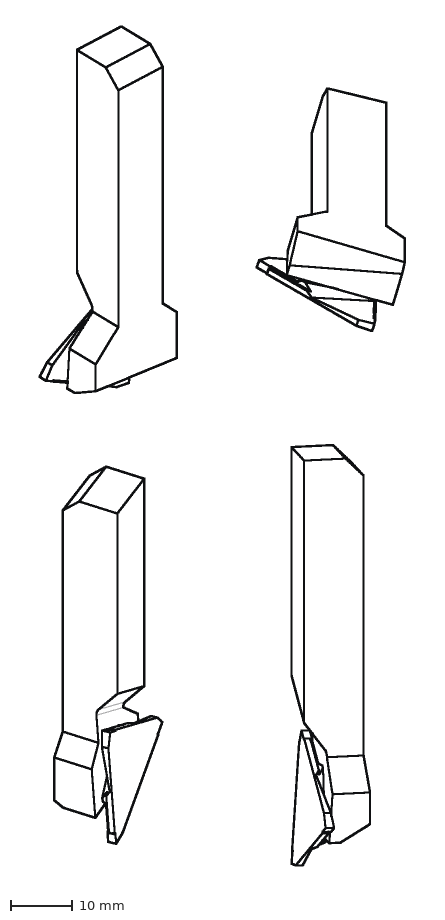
import cadquery as cq
import math

SHANK_SIDE = 9.95
TOP_Z = 70.1
TOP_CHAMFER = 3.0

HEAD_FRONT_Y = -5.05
HEAD_BACK_Y = 13.1
HEAD_BOTTOM_Z = 6.9
SHOULDER_Z = 20.1

RELIEF_SLOPE = 30.0
RELIEF_FRONT_HEIGHT = 2.9
RELIEF_BACK_HEIGHT = 1.0

INSERT_CENTRE = (1.05, 3.3, 11.1)
INSERT_TURN = 30.0
SEAT_TILT = 4.3

INSERT_INRADIUS = 7.15
INSERT_THICKNESS = 2.0
TIP_THICKNESS = 1.5
TIP_SHORT_CUT = 1.3
TIP_LONG_CUT = 3.4
TIP_LAND_LENGTH = 2.2
TIP_LAND_INSET = 0.2
CORNER_RELIEF_ANGLE = 5.8
LEDGE_THICKNESS = 1.05
LEDGE_DEPTH = 0.4
BOSS_OFFSET = 2.7
BOSS_WALL_ANGLE = 45.0

STEP_DISTANCE = 10.3
STEP_ANGLE = 45.0
STEP_FILLET = 1.6

CLEAR = 42.1

TURN = math.radians(INSERT_TURN)
TILT = math.radians(SEAT_TILT)
U_AXIS = cq.Vector(0, math.cos(TURN), math.sin(TURN))
W_AXIS = cq.Vector(
    math.cos(TILT), math.sin(TILT) * math.sin(TURN), -math.sin(TILT) * math.cos(TURN)
)
V_AXIS = W_AXIS.cross(U_AXIS)
INSERT_PLANE = cq.Plane(INSERT_CENTRE, U_AXIS, W_AXIS)
SEAT_PROFILE_PLANE = cq.Plane(INSERT_CENTRE, V_AXIS, U_AXIS)

APEX = math.radians(60)
HALF_SIDE = INSERT_INRADIUS / math.tan(APEX / 2)
CORNER_SPACING = 120
CORNER_TURNS = [number * CORNER_SPACING for number in range(3)]
BOSS_CORNER = (BOSS_OFFSET, INSERT_INRADIUS)


def turned(point, degrees):
    """A point in the u-v plane turned about the insert centre."""
    angle = math.radians(degrees)
    u, v = point
    return (
        u * math.cos(angle) - v * math.sin(angle),
        u * math.sin(angle) + v * math.cos(angle),
    )


def make_shank():
    shank = cq.Workplane("XY").box(
        SHANK_SIDE, SHANK_SIDE, TOP_Z - SHOULDER_Z, centered=False
    ).translate((0, 0, SHOULDER_Z))
    return shank.edges(">X and >Z").chamfer(TOP_CHAMFER)


def make_head():
    """Head with 45 degree shoulders widening from the shank in Y."""
    outline = [
        (0, SHOULDER_Z),
        (HEAD_FRONT_Y, SHOULDER_Z + HEAD_FRONT_Y),
        (HEAD_FRONT_Y, HEAD_BOTTOM_Z),
        (HEAD_BACK_Y, HEAD_BOTTOM_Z),
        (HEAD_BACK_Y, SHOULDER_Z - (HEAD_BACK_Y - SHANK_SIDE)),
        (SHANK_SIDE, SHOULDER_Z),
    ]
    return cq.Workplane("YZ").polyline(outline).close().extrude(SHANK_SIDE)


def bottom_relief():
    """Tapering wedge along the lower +X edge of the head."""

    def section(y, height):
        width = height / math.tan(math.radians(RELIEF_SLOPE))
        return cq.Wire.makePolygon(
            [
                cq.Vector(SHANK_SIDE, y, HEAD_BOTTOM_Z),
                cq.Vector(SHANK_SIDE, y, HEAD_BOTTOM_Z + height),
                cq.Vector(SHANK_SIDE - width, y, HEAD_BOTTOM_Z),
            ],
            close=True,
        )

    front = section(HEAD_FRONT_Y, RELIEF_FRONT_HEIGHT)
    back = section(HEAD_BACK_Y, RELIEF_BACK_HEIGHT)
    return cq.Workplane(cq.Solid.makeLoft([front, back], True))


def seat_cut():
    """Space in front of the tilted seat, closed above by the filleted sloping step."""
    step = math.radians(STEP_ANGLE)
    tangent = STEP_FILLET * math.tan(step / 2)
    fillet_end = (
        STEP_DISTANCE + tangent * math.cos(step),
        INSERT_THICKNESS - tangent * math.sin(step),
    )
    step_end = (
        STEP_DISTANCE + CLEAR * math.cos(step),
        INSERT_THICKNESS - CLEAR * math.sin(step),
    )
    return (
        cq.Workplane(SEAT_PROFILE_PLANE)
        .moveTo(-CLEAR, INSERT_THICKNESS)
        .lineTo(STEP_DISTANCE - tangent, INSERT_THICKNESS)
        .radiusArc(fillet_end, STEP_FILLET)
        .lineTo(*step_end)
        .lineTo(-CLEAR, step_end[1])
        .close()
        .extrude(CLEAR, both=True)
    )


def make_holder():
    return make_shank().union(make_head()).cut(bottom_relief()).cut(seat_cut())


def insert_plate():
    """Triangle whose corners are cut off obliquely, leaving a cutting tip at each.

    A short land beside each tip is set in slightly from the side of the triangle.
    """
    long_cut_end = (-HALF_SIDE + TIP_LONG_CUT, INSERT_INRADIUS)
    short_cut_end = trailing_side_point(TIP_SHORT_CUT, 0)
    inset_share = TIP_LAND_INSET / (TIP_LONG_CUT * math.sin(APEX))
    tip = (
        short_cut_end[0] + inset_share * (long_cut_end[0] - short_cut_end[0]),
        short_cut_end[1] + inset_share * (long_cut_end[1] - short_cut_end[1]),
    )
    land_end = TIP_SHORT_CUT + TIP_LAND_LENGTH
    corner = [
        long_cut_end,
        tip,
        trailing_side_point(land_end, TIP_LAND_INSET),
        trailing_side_point(land_end, 0),
    ]
    outline = [turned(point, turn) for turn in CORNER_TURNS for point in corner]
    return cq.Workplane(INSERT_PLANE).polyline(outline).close().extrude(INSERT_THICKNESS)


def trailing_side_point(distance, inset):
    """Point at a distance from the sharp corner along its trailing side, moved inward."""
    return (
        -HALF_SIDE + distance * math.cos(APEX) + inset * math.sin(APEX),
        INSERT_INRADIUS - distance * math.sin(APEX) + inset * math.cos(APEX),
    )


def boss():
    """Triangular frustum, turned in the plate, whose small end rests on the seat."""
    corners = [turned(BOSS_CORNER, turn) for turn in CORNER_TURNS]
    return (
        cq.Workplane(INSERT_PLANE)
        .workplane(offset=INSERT_THICKNESS)
        .polyline(corners)
        .close()
        .extrude(-INSERT_THICKNESS, taper=-BOSS_WALL_ANGLE)
    )


def corner_relief(turn):
    """Space behind one corner, whose back slopes down away from its trailing side."""
    slope = math.tan(math.radians(CORNER_RELIEF_ANGLE))
    trailing_plane = INSERT_PLANE.rotated((0, 0, turn + CORNER_SPACING))
    profile_plane = cq.Plane(INSERT_CENTRE, trailing_plane.yDir, trailing_plane.xDir)
    profile = [
        (-CLEAR, TIP_THICKNESS - slope * (INSERT_INRADIUS + CLEAR)),
        (CLEAR, TIP_THICKNESS - slope * (INSERT_INRADIUS - CLEAR)),
        (CLEAR, CLEAR),
        (-CLEAR, CLEAR),
    ]
    behind_back = (
        cq.Workplane(profile_plane).polyline(profile).close().extrude(CLEAR, both=True)
    )
    beyond_corner = (-2 * HALF_SIDE, 2 * INSERT_INRADIUS)
    sector = [
        turned(BOSS_CORNER, turn),
        turned(beyond_corner, turn),
        turned(BOSS_CORNER, turn + CORNER_SPACING),
    ]
    return (
        cq.Workplane(INSERT_PLANE)
        .polyline(sector)
        .close()
        .extrude(INSERT_THICKNESS)
        .intersect(behind_back)
    )


def side_ledge(turn):
    """Step along the back of one side, from past the boss up to the tip land."""
    start = -BOSS_OFFSET
    end = HALF_SIDE - TIP_SHORT_CUT - TIP_LAND_LENGTH
    return (
        cq.Workplane(INSERT_PLANE.rotated((0, 0, turn)))
        .workplane(offset=LEDGE_THICKNESS)
        .center((start + end) / 2, INSERT_INRADIUS)
        .rect(end - start, 2 * LEDGE_DEPTH)
        .extrude(INSERT_THICKNESS)
    )


def make_insert():
    insert = insert_plate()
    centre = boss()
    for turn in CORNER_TURNS:
        insert = insert.cut(corner_relief(turn).cut(centre))
        insert = insert.cut(side_ledge(turn))
    return insert


holder = make_holder()
insert = make_insert()

result = cq.Compound.makeCompound([*holder.solids().vals(), *insert.solids().vals()])